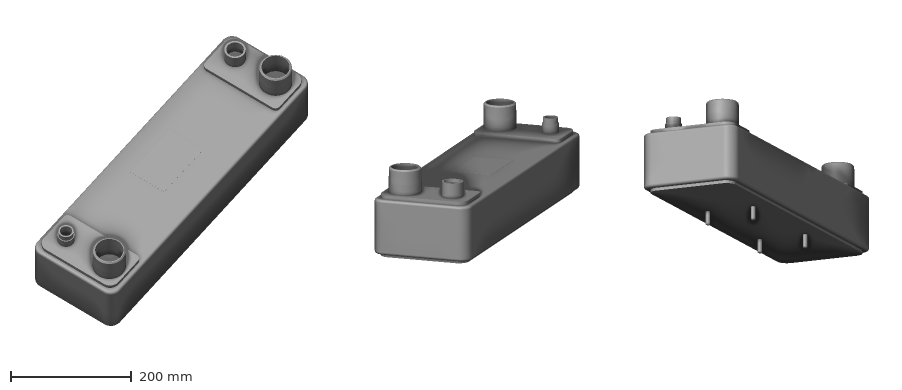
import cadquery as cq

LENGTH = 556.5
WIDTH = 170.5
CORNER_RADIUS = 19.0
PACK_HEIGHT = 65.5
COVER_HEIGHT = 14.0
COVER_EDGE_RADIUS = 4.5

PLATE_MARGIN = 8.5
PLATE_CORNER_RADIUS = 17.0
PAD_INNER_RADIUS = 9.0
PAD_LENGTH = 80.5
PAD_HEIGHT = 6.5
PLATE_HEIGHT = 5.0

LABEL_WIDTH = 69.0
LABEL_LENGTH = 107.5
LABEL_HEIGHT = 0.3
LABEL_CENTRE_X = -10.0

STUD_DIAMETER = 8.0
STUD_LENGTH = 23.0
STUD_CHAMFER = 1.5
STUD_X = 41.0
STUD_Y = 104.0

PIPE_Y = 234.5
FRONT_PIPE_X = 44.5
REAR_PIPE_X = 42.0
LARGE_PIPE_DIAMETER = 55.0
LARGE_PIPE_TOP_DIAMETER = 54.0
LARGE_PIPE_BORE = 47.0
LARGE_PIPE_HEIGHT = 43.0
LARGE_PIPE_COLLAR_HEIGHT = 18.5
LARGE_PIPE_CHAMFER = 2.0
SMALL_PIPE_HEIGHT = 25.0
REAR_SMALL_DIAMETER = 35.5
REAR_SMALL_BORE = 29.0
FRONT_SMALL_DIAMETER = 28.0
FRONT_SMALL_NECK_DIAMETER = 25.0
FRONT_SMALL_BORE = 20.0
FRONT_SMALL_STEP_HEIGHT = 15.0

PLATE_BOTTOM_Z = STUD_LENGTH
BOTTOM_COVER_Z = PLATE_BOTTOM_Z + PLATE_HEIGHT
PACK_Z = BOTTOM_COVER_Z + COVER_HEIGHT
TOP_COVER_Z = PACK_Z + PACK_HEIGHT
HOUSING_TOP_Z = TOP_COVER_Z + COVER_HEIGHT
PAD_TOP_Z = HOUSING_TOP_Z + PAD_HEIGHT

PLATE_WIDTH = WIDTH - 2 * PLATE_MARGIN
PLATE_LENGTH = LENGTH - 2 * PLATE_MARGIN


def housing_layer(bottom_z, height):
    """One full-size layer of the housing with rounded vertical corners."""
    layer = cq.Workplane("XY", origin=(0, 0, bottom_z)).rect(WIDTH, LENGTH).extrude(height)
    return layer.edges("|Z").fillet(CORNER_RADIUS)


def make_pad(end):
    """Pad at the +Y end (end = 1) or the -Y end (end = -1) of the top cover."""
    centre_y = end * (PLATE_LENGTH - PAD_LENGTH) / 2
    outer_side = ">Y" if end > 0 else "<Y"
    inner_side = "<Y" if end > 0 else ">Y"
    pad = cq.Workplane("XY", origin=(0, centre_y, HOUSING_TOP_Z))
    pad = pad.rect(PLATE_WIDTH, PAD_LENGTH).extrude(PAD_HEIGHT)
    pad = pad.faces(outer_side).edges("|Z").fillet(PLATE_CORNER_RADIUS)
    return pad.faces(inner_side).edges("|Z").fillet(PAD_INNER_RADIUS)


def make_housing():
    """Brazed pack, covers, pads, mounting plate and label as one solid."""
    bottom_cover = housing_layer(BOTTOM_COVER_Z, COVER_HEIGHT)
    bottom_cover = bottom_cover.faces("<Z").edges().fillet(COVER_EDGE_RADIUS)
    top_cover = housing_layer(TOP_COVER_Z, COVER_HEIGHT)
    top_cover = top_cover.faces(">Z").edges().fillet(COVER_EDGE_RADIUS)
    plate = cq.Workplane("XY", origin=(0, 0, PLATE_BOTTOM_Z))
    plate = plate.rect(PLATE_WIDTH, PLATE_LENGTH).extrude(PLATE_HEIGHT)
    plate = plate.edges("|Z").fillet(PLATE_CORNER_RADIUS)
    label = (
        cq.Workplane("XY", origin=(LABEL_CENTRE_X, 0, HOUSING_TOP_Z))
        .rect(LABEL_WIDTH, LABEL_LENGTH)
        .extrude(LABEL_HEIGHT)
    )
    housing = housing_layer(PACK_Z, PACK_HEIGHT)
    for section in (bottom_cover, top_cover, plate, make_pad(1), make_pad(-1), label):
        housing = housing.union(section, clean=False)
    return housing


def make_pipe(x, y, outline, bore):
    """Pipe turned from (radius, height) points of its outer outline, bored through."""
    profile = [(bore / 2, 0), *outline, (bore / 2, outline[-1][1])]
    pipe = cq.Workplane("XZ").polyline(profile).close().revolve(360, (0, 0), (0, 1))
    return pipe.translate((x, y, PAD_TOP_Z))


def make_large_pipe(x, y):
    """Large connection: straight collar, slightly tapered end and chamfered rim."""
    outline = [
        (LARGE_PIPE_DIAMETER / 2, 0),
        (LARGE_PIPE_DIAMETER / 2, LARGE_PIPE_COLLAR_HEIGHT),
        (LARGE_PIPE_TOP_DIAMETER / 2, LARGE_PIPE_HEIGHT - LARGE_PIPE_CHAMFER),
        (LARGE_PIPE_TOP_DIAMETER / 2 - LARGE_PIPE_CHAMFER, LARGE_PIPE_HEIGHT),
    ]
    return make_pipe(x, y, outline, LARGE_PIPE_BORE)


def make_rear_small_pipe():
    """Plain small connection at the +Y end."""
    radius = REAR_SMALL_DIAMETER / 2
    outline = [(radius, 0), (radius, SMALL_PIPE_HEIGHT)]
    return make_pipe(-REAR_PIPE_X, PIPE_Y, outline, REAR_SMALL_BORE)


def make_front_small_pipe():
    """Stepped small connection at the -Y end."""
    radius = FRONT_SMALL_DIAMETER / 2
    neck_radius = FRONT_SMALL_NECK_DIAMETER / 2
    outline = [
        (radius, 0),
        (radius, FRONT_SMALL_STEP_HEIGHT),
        (neck_radius, FRONT_SMALL_STEP_HEIGHT),
        (neck_radius, SMALL_PIPE_HEIGHT),
    ]
    return make_pipe(-FRONT_PIPE_X, -PIPE_Y, outline, FRONT_SMALL_BORE)


def make_stud(x, y):
    """Stud hanging from the mounting plate, with a chamfered tip."""
    stud = cq.Workplane("XY", origin=(x, y, 0)).circle(STUD_DIAMETER / 2).extrude(STUD_LENGTH)
    return stud.faces("<Z").chamfer(STUD_CHAMFER)


housing = make_housing()
large_pipes = [make_large_pipe(REAR_PIPE_X, PIPE_Y), make_large_pipe(FRONT_PIPE_X, -PIPE_Y)]
rear_small_pipe = make_rear_small_pipe()
front_small_pipe = make_front_small_pipe()
studs = [make_stud(x, y) for x in (-STUD_X, STUD_X) for y in (-STUD_Y, STUD_Y)]

bodies = [housing, *large_pipes, rear_small_pipe, front_small_pipe, *studs]
result = cq.Compound.makeCompound([body.val() for body in bodies])